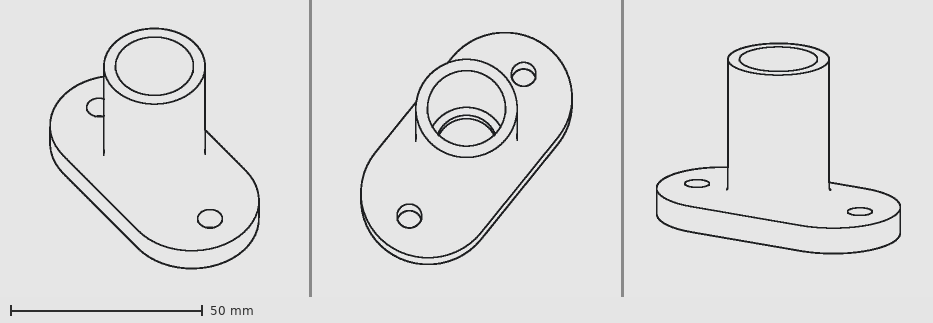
import cadquery as cq

length = 67.6
width = 35.0
plate_thickness = 7.0
screw_hole_diameter = 6.4
screw_hole_spacing = 48.4

total_height = 45.0
tube_diameter = 26.4
root_fillet = 3.0

bore_diameter = 20.35
lower_bore_diameter = 16.1
lower_bore_depth = plate_thickness / 2


def make_plate():
    """Round-ended flange with its underside at Z = 0."""
    return cq.Workplane("XY").slot2D(length, width).extrude(plate_thickness)


def add_tube(plate):
    """Solid upright cylinder, filleted where it meets the plate."""
    body = (
        plate.faces(">Z").workplane(origin=(0, 0, 0))
        .circle(tube_diameter / 2)
        .extrude(total_height - plate_thickness)
    )
    root_radius = tube_diameter / 2
    root_box = cq.selectors.BoxSelector(
        (-root_radius, -root_radius, plate_thickness - root_fillet / 2),
        (root_radius, root_radius, plate_thickness + root_fillet / 2),
    )
    return body.edges("%CIRCLE").edges(root_box).fillet(root_fillet)


def cut_bore(body):
    """Stepped bore, open at the top and closed by the plate."""
    bore = (
        cq.Workplane("XY", origin=(0, 0, plate_thickness))
        .circle(bore_diameter / 2)
        .extrude(total_height - plate_thickness)
    )
    lower_bore = (
        cq.Workplane("XY", origin=(0, 0, plate_thickness))
        .circle(lower_bore_diameter / 2)
        .extrude(-lower_bore_depth)
    )
    return body.cut(bore).cut(lower_bore)


def cut_screw_holes(body):
    """Two through holes on the long axis of the flange."""
    holes = (
        cq.Workplane("XY")
        .pushPoints([(-screw_hole_spacing / 2, 0), (screw_hole_spacing / 2, 0)])
        .circle(screw_hole_diameter / 2)
        .extrude(plate_thickness)
    )
    return body.cut(holes)


result = cut_screw_holes(cut_bore(add_tube(make_plate())))